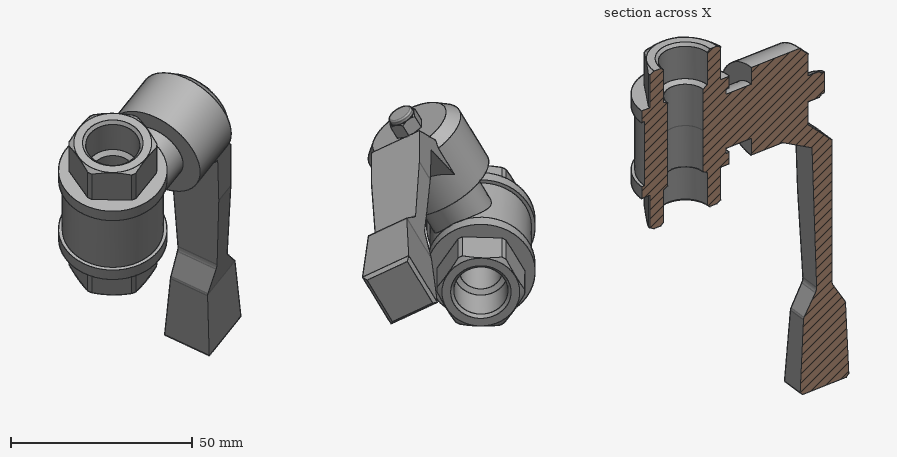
import cadquery as cq
import math


body_length = 52.0
body_diameter = 28.0
flange_diameter = 30.0
flange_thickness = 4.0
hex_length = 11.5
hex_flats = 21.7
hex_corner_diameter = 24.3
hex_end_diameter = 21.5
hex_end_chamfer_angle = 30.0

bore_diameter = 12.0
thread_diameter = 14.95
thread_depth = hex_length
thread_mouth_diameter = 16.7
drill_point_angle = 118.0

stem_diameter = 18.0
hub_diameter = 29.0
hub_start = 22.5
hub_end = 42.0
hub_chamfer = 3.0
nut_flats = 7.5
nut_end = 46.3
nut_chamfer = 0.5
spindle_diameter = 7.17
spindle_end = 47.6
spindle_end_radius = 0.5

arm_width = 15.0
arm_outer_y = 50.2
arm_bend_z = -20.0
arm_bend_inner_y = 43.2
arm_root_inner_angle = 29.0
root_outer_z = -9.0
root_inner_z = -12.0
taper_start_z = -37.5
neck_z = -67.3
neck_inner_y = 44.8
grip_top_z = -75.0
grip_top_outer_y = 54.8
grip_top_inner_y = 40.3
grip_top_width = 12.0
grip_end_z = -100.0
grip_end_outer_y = 56.0
grip_end_inner_y = 39.1
grip_end_width = 14.6
grip_end_chamfer = 1.0
neck_radius = 3.0
grip_shoulder_radius = 1.5


def cylinder_along_y(diameter, y_start, y_end):
    plane = cq.Workplane("XZ", origin=(0, y_start, 0))
    return plane.circle(diameter / 2).extrude(y_start - y_end)


def width_over_corners(width_over_flats):
    """Corner to corner width of a regular hexagon."""
    return width_over_flats / math.cos(math.pi / 6)


def cone_height(large_diameter, small_diameter, slope_angle):
    """Axial length of a cone between two diameters, its slope measured from the end plane."""
    return (large_diameter - small_diameter) / 2 * math.tan(math.radians(slope_angle))


def make_body():
    half_length = body_length / 2
    flange_outer_z = half_length - hex_length
    flange_inner_z = flange_outer_z - flange_thickness

    hexagon_corners = width_over_corners(hex_flats)
    hexagon = (
        cq.Workplane("XY", origin=(0, 0, -half_length))
        .transformed(rotate=(0, 0, 90))
        .polygon(6, hexagon_corners)
        .extrude(body_length)
    )
    chamfer_height = cone_height(hex_corner_diameter, hex_end_diameter, hex_end_chamfer_angle)
    turned_envelope = (
        cq.Workplane("XZ")
        .moveTo(0, -half_length)
        .lineTo(hex_end_diameter / 2, -half_length)
        .lineTo(hex_corner_diameter / 2, -half_length + chamfer_height)
        .lineTo(hex_corner_diameter / 2, half_length - chamfer_height)
        .lineTo(hex_end_diameter / 2, half_length)
        .lineTo(0, half_length)
        .close()
        .revolve(360, (0, 0, 0), (0, 1, 0))
    )
    body = hexagon.intersect(turned_envelope)

    barrel = cq.Workplane("XY").circle(body_diameter / 2).extrude(flange_outer_z, both=True)
    body = body.union(barrel)
    for flange_bottom_z in (flange_inner_z, -flange_outer_z):
        flange = cq.Workplane("XY", origin=(0, 0, flange_bottom_z))
        body = body.union(flange.circle(flange_diameter / 2).extrude(flange_thickness))
    return body


def make_passage():
    """Through bore with a threaded socket, conical at its bottom and mouth, at both ends."""
    half_length = body_length / 2
    mouth_depth = (thread_mouth_diameter - thread_diameter) / 2
    socket_bottom_z = half_length - thread_depth
    point_height = cone_height(thread_diameter, bore_diameter, 90 - drill_point_angle / 2)
    half_passage = (
        cq.Workplane("XZ")
        .lineTo(bore_diameter / 2, 0)
        .lineTo(bore_diameter / 2, socket_bottom_z - point_height)
        .lineTo(thread_diameter / 2, socket_bottom_z)
        .lineTo(thread_diameter / 2, half_length - mouth_depth)
        .lineTo(thread_mouth_diameter / 2, half_length)
        .lineTo(0, half_length)
        .close()
        .revolve(360, (0, 0, 0), (0, 1, 0))
    )
    return half_passage.union(half_passage.mirror("XY"))


def make_stem_and_nut():
    stem = cylinder_along_y(stem_diameter, 0, hub_start)
    hub = cylinder_along_y(hub_diameter, hub_start, hub_end).faces(">Y").chamfer(hub_chamfer)

    nut_corners = width_over_corners(nut_flats)
    nut = (
        cq.Workplane("XZ", origin=(0, hub_end, 0))
        .transformed(rotate=(0, 0, 90))
        .polygon(6, nut_corners)
        .extrude(hub_end - nut_end)
    )
    nut_envelope = cylinder_along_y(nut_corners, hub_end, nut_end).faces(">Y").chamfer(nut_chamfer)
    nut = nut.intersect(nut_envelope)

    spindle = cylinder_along_y(spindle_diameter, hub_end, spindle_end)
    spindle = spindle.faces(">Y").fillet(spindle_end_radius)
    return stem.union(hub).union(nut).union(spindle)


def make_handle():
    root_outer_y = arm_outer_y - (root_outer_z - arm_bend_z)
    root_inner_rise = root_inner_z - arm_bend_z
    root_inner_y = arm_bend_inner_y - root_inner_rise / math.tan(math.radians(arm_root_inner_angle))
    side_shape = (
        cq.Workplane("YZ")
        .moveTo(root_outer_y, root_outer_z)
        .lineTo(arm_outer_y, arm_bend_z)
        .lineTo(arm_outer_y, neck_z)
        .lineTo(grip_top_outer_y, grip_top_z)
        .lineTo(grip_end_outer_y, grip_end_z)
        .lineTo(grip_end_inner_y, grip_end_z)
        .lineTo(grip_top_inner_y, grip_top_z)
        .lineTo(neck_inner_y, neck_z)
        .lineTo(arm_bend_inner_y, arm_bend_z)
        .lineTo(root_inner_y, root_inner_z)
        .close()
        .extrude(arm_width / 2, both=True)
    )
    for y, z, radius in (
        (neck_inner_y, neck_z, neck_radius),
        (arm_outer_y, neck_z, neck_radius),
        (grip_top_inner_y, grip_top_z, grip_shoulder_radius),
        (grip_top_outer_y, grip_top_z, grip_shoulder_radius),
    ):
        edge = cq.selectors.NearestToPointSelector((0, y, z))
        side_shape = side_shape.edges("|X").edges(edge).fillet(radius)

    front_shape = (
        cq.Workplane("XZ")
        .moveTo(-arm_width / 2, root_outer_z)
        .lineTo(-arm_width / 2, taper_start_z)
        .lineTo(-grip_top_width / 2, grip_top_z)
        .lineTo(-grip_end_width / 2, grip_end_z)
        .lineTo(grip_end_width / 2, grip_end_z)
        .lineTo(grip_top_width / 2, grip_top_z)
        .lineTo(arm_width / 2, taper_start_z)
        .lineTo(arm_width / 2, root_outer_z)
        .close()
        .extrude(-2 * grip_end_outer_y)
    )
    return side_shape.intersect(front_shape).faces("<Z").chamfer(grip_end_chamfer)


valve = make_body().union(make_stem_and_nut()).union(make_handle())
result = valve.cut(make_passage())